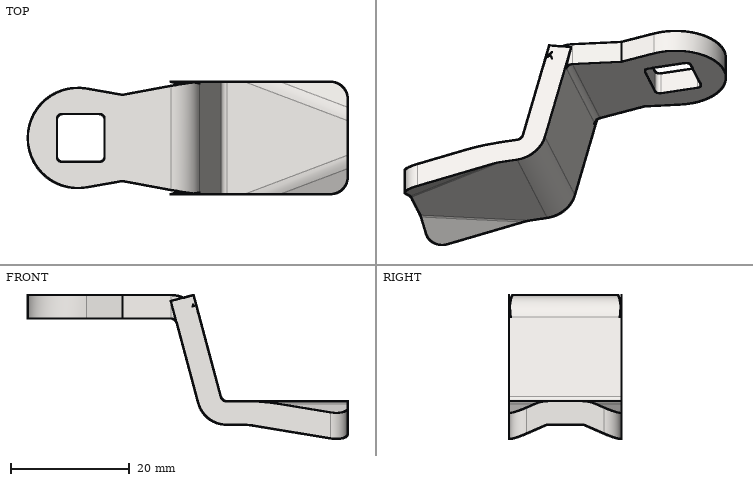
import cadquery as cq
import math

overall_length = 54.0
width = 19.0
thickness = 4.0
inner_bend_radius = 1.0
outer_bend_radius = inner_bend_radius + thickness
bend_angle = math.radians(75)

end_radius = 8.5
waist_x = 7.5
waist_angle = math.radians(10)
hole_x = 0.5
hole_side = 8.0
hole_corner_radius = 0.8
plate_end_x = 15.65
plate_end_half_width = 8.8

ear_base_width = 0.3
ear_tip_width = 0.025

foot_drop = 17.95
foot_corner_radius = 2.95
fold_start_x = 28.0
fold_plan_angle = 20.7
fold_angle = math.radians(25)

half_width = width / 2
foot_end_x = overall_length - end_radius
bend_sin = math.sin(bend_angle)
bend_cos = math.cos(bend_angle)

upper_x = plate_end_x
upper_z = -outer_bend_radius
lower_z = inner_bend_radius - foot_drop
radius_sum = outer_bend_radius + inner_bend_radius
arm_run = (upper_z + radius_sum * bend_cos - lower_z) / bend_sin
lower_x = upper_x + radius_sum * bend_sin + arm_run * bend_cos


def upper_point(radius, angle=bend_angle):
    """Point on the upper bend, with the angle measured from its top."""
    return (upper_x + radius * math.sin(angle), upper_z + radius * math.cos(angle))


def lower_point(radius, angle=bend_angle):
    """Point on the lower bend, with the angle measured from its bottom."""
    return (lower_x - radius * math.sin(angle), lower_z - radius * math.cos(angle))


def extrude_across(profile):
    """Extrude an XZ profile over the full width, centred on Y = 0."""
    return profile.close().extrude(half_width, both=True)


def make_plate():
    """Plate and upper bend, trimmed to the round, waisted outline."""
    sheet = extrude_across(
        cq.Workplane("XZ")
        .moveTo(-end_radius, 0)
        .lineTo(upper_x, 0)
        .threePointArc(upper_point(outer_bend_radius, bend_angle / 2), upper_point(outer_bend_radius))
        .lineTo(*upper_point(inner_bend_radius))
        .threePointArc(upper_point(inner_bend_radius, bend_angle / 2), upper_point(inner_bend_radius, 0))
        .lineTo(-end_radius, -thickness)
    )
    tangent_x = end_radius * math.sin(waist_angle)
    tangent_y = end_radius * math.cos(waist_angle)
    waist_y = end_radius / math.cos(waist_angle) - waist_x * math.tan(waist_angle)
    bend_end_x = upper_point(outer_bend_radius)[0]
    outline = (
        cq.Workplane("XY")
        .moveTo(tangent_x, tangent_y)
        .lineTo(waist_x, waist_y)
        .lineTo(plate_end_x, plate_end_half_width)
        .lineTo(bend_end_x, half_width)
        .lineTo(bend_end_x, -half_width)
        .lineTo(plate_end_x, -plate_end_half_width)
        .lineTo(waist_x, -waist_y)
        .lineTo(tangent_x, -tangent_y)
        .threePointArc((-end_radius, 0), (tangent_x, tangent_y))
        .close()
        .extrude(-2 * outer_bend_radius)
    )
    hole = (
        cq.Workplane("XY")
        .center(hole_x, 0)
        .rect(hole_side, hole_side)
        .extrude(-thickness)
        .edges("|Z")
        .fillet(hole_corner_radius)
    )
    return sheet.intersect(outline).cut(hole)


def make_arm():
    """Sloping arm and lower bend at full width."""
    return extrude_across(
        cq.Workplane("XZ")
        .moveTo(*upper_point(outer_bend_radius))
        .lineTo(*lower_point(inner_bend_radius))
        .threePointArc(lower_point(inner_bend_radius, bend_angle / 2), lower_point(inner_bend_radius, 0))
        .lineTo(*lower_point(outer_bend_radius, 0))
        .threePointArc(lower_point(outer_bend_radius, bend_angle / 2), lower_point(outer_bend_radius))
        .lineTo(*upper_point(inner_bend_radius))
    )


def make_ear():
    """Thin wedge continuing the +Y edge of the arm up to the plate's top level."""
    base_x, base_z = upper_point(outer_bend_radius)
    length = -base_z / bend_sin
    section = cq.Plane(
        origin=(base_x, half_width, base_z),
        xDir=(0, -1, 0),
        normal=(-bend_sin, 0, -bend_cos),
    )
    return (
        cq.Workplane(section)
        .polyline([(0, 0), (ear_base_width, 0), (ear_tip_width, length), (0, length)])
        .close()
        .extrude(thickness)
    )


def make_half_foot():
    """The +Y half of the foot, its outer corner folded down about an oblique axis."""
    reach = overall_length
    fold_sin = math.sin(fold_angle)
    fold_cos = math.cos(fold_angle)

    def fold_point(radius, angle):
        return (radius * math.sin(angle), radius * math.cos(angle) - outer_bend_radius)

    outer_x, outer_y = fold_point(outer_bend_radius, fold_angle)
    inner_x, inner_y = fold_point(inner_bend_radius, fold_angle)
    plan = math.radians(fold_plan_angle)
    section = cq.Plane(
        origin=(fold_start_x, half_width, -foot_drop),
        xDir=(math.sin(plan), math.cos(plan), 0),
        normal=(math.cos(plan), -math.sin(plan), 0),
    )
    folded_sheet = (
        cq.Workplane(section)
        .moveTo(-reach, 0)
        .lineTo(0, 0)
        .threePointArc(fold_point(outer_bend_radius, fold_angle / 2), (outer_x, outer_y))
        .lineTo(outer_x + reach * fold_cos, outer_y - reach * fold_sin)
        .lineTo(inner_x + reach * fold_cos, inner_y - reach * fold_sin)
        .lineTo(inner_x, inner_y)
        .threePointArc(fold_point(inner_bend_radius, fold_angle / 2), (0, -thickness))
        .lineTo(-reach, -thickness)
        .close()
        .extrude(reach, both=True)
    )
    outline = (
        cq.Workplane("XY", origin=(0, 0, -foot_drop))
        .moveTo(lower_x, 0)
        .lineTo(foot_end_x, 0)
        .lineTo(foot_end_x, half_width - foot_corner_radius)
        .radiusArc((foot_end_x - foot_corner_radius, half_width), -foot_corner_radius)
        .lineTo(lower_x, half_width)
        .close()
        .extrude(-3 * thickness)
    )
    return folded_sheet.intersect(outline)


result = make_plate().union(make_arm())
for half_part in (make_ear(), make_half_foot()):
    result = result.union(half_part).union(half_part.mirror("XZ"))